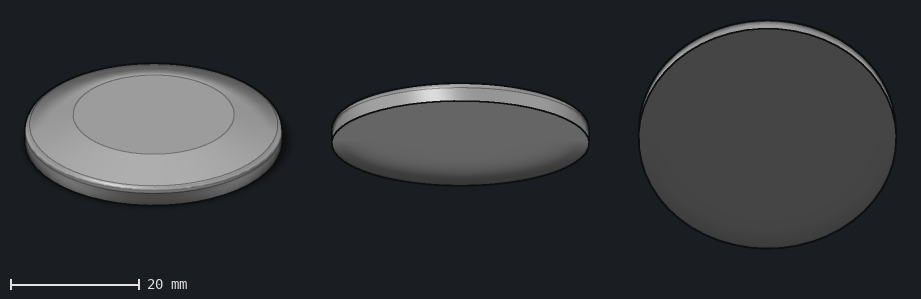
import cadquery as cq

outer_diameter = 40.0
top_diameter = 25.0
total_height = 5.0
rim_height = 3.0
rim_fillet = 1.0

outer_radius = outer_diameter / 2
top_radius = top_diameter / 2

half_section = (
    cq.Workplane("XZ")
    .lineTo(outer_radius, 0)
    .lineTo(outer_radius, rim_height)
    .lineTo(top_radius, total_height)
    .lineTo(0, total_height)
    .close()
)
disc = half_section.revolve(360, (0, 0, 0), (0, 1, 0))

shoulder_edge = cq.selectors.BoxSelector(
    (-outer_diameter, -outer_diameter, rim_height - rim_fillet),
    (outer_diameter, outer_diameter, rim_height + rim_fillet),
    boundingbox=True,
)
result = disc.edges(shoulder_edge).fillet(rim_fillet)